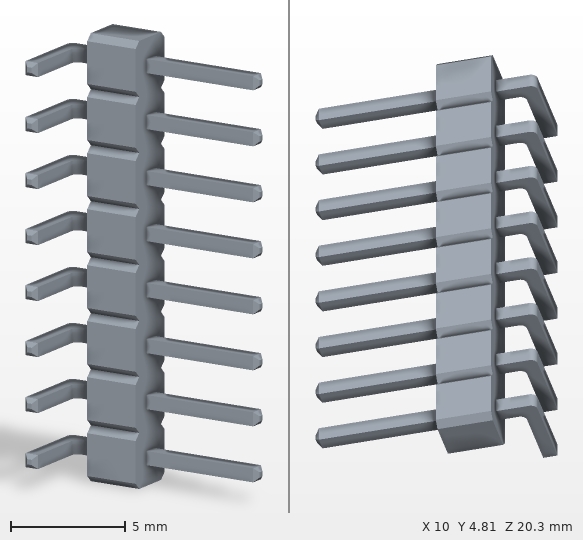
import cadquery as cq

unit_count = 8
pitch = 2.54

block_length = 2.5
block_depth = 2.4
block_chamfer = 0.3

pin_size = 0.64
pin_total_length = 10.02
row_depth = 4.81
leg_to_block = 1.8
bend_radius = 0.3
tip_chamfer = 0.2

pin_half = pin_size / 2
block_back = block_depth / 2
leg_left = -(leg_to_block + block_length / 2)
leg_right = leg_left + pin_size
leg_end = block_back - row_depth
tail_end = leg_left + pin_total_length


def make_block():
    """Octagonal block, centred on the origin with its length along X."""
    return (
        cq.Workplane("XY")
        .box(block_length, block_depth, pitch)
        .edges("|X")
        .chamfer(block_chamfer)
    )


def make_pin():
    """Right-angle square pin with a rounded bend and tapered tips."""
    pin = (
        cq.Workplane("XY")
        .workplane(offset=-pin_half)
        .moveTo(leg_left, leg_end)
        .lineTo(leg_right, leg_end)
        .lineTo(leg_right, -pin_half)
        .lineTo(tail_end, -pin_half)
        .lineTo(tail_end, pin_half)
        .lineTo(leg_left, pin_half)
        .close()
        .extrude(pin_size)
    )
    outer_corner = cq.NearestToPointSelector((leg_left, pin_half, 0))
    inner_corner = cq.NearestToPointSelector((leg_right, -pin_half, 0))
    pin = pin.edges("|Z").edges(outer_corner).fillet(bend_radius)
    pin = pin.edges("|Z").edges(inner_corner).fillet(bend_radius)
    pin = pin.faces(">X").chamfer(tip_chamfer)
    return pin.faces("<Y").chamfer(tip_chamfer)


def make_unit():
    """One header unit: a block and its pin as a single solid."""
    return make_block().union(make_pin())


header_unit = make_unit()
row_start = -(unit_count - 1) / 2 * pitch
header_units = [
    header_unit.translate((0, 0, row_start + index * pitch)).val()
    for index in range(unit_count)
]

result = cq.Compound.makeCompound(header_units)